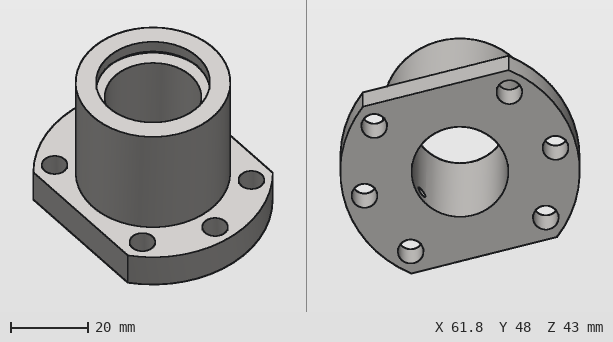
import cadquery as cq
import math

flange_diameter = 61.8
flange_width = 48.0
flange_thickness = 10.0

total_height = 43.0
body_diameter = 39.9

bore_diameter = 24.95
recess_diameter = 29.4
recess_depth = 5.5
undercut_diameter = 32.4
undercut_height = 2.0

bolt_hole_diameter = 6.6
bolt_circle_radius = 25.5
bolt_spacing_angle = 45.0

port_angle = 180.0 - bolt_spacing_angle / 2
port_diameter = 6.05
port_shoulder_radius = 24.85
port_drill_diameter = 3.0


def cylinder(diameter, bottom, top):
    """Upright cylinder about the Z axis."""
    return cq.Workplane("XY").workplane(offset=bottom).circle(diameter / 2).extrude(top - bottom)


def radial_cylinder(diameter, inner_radius, outer_radius):
    """Cylinder along the port axis, halfway up the flange."""
    angle = math.radians(port_angle)
    outward = cq.Vector(math.cos(angle), math.sin(angle), 0)
    start = outward * inner_radius + cq.Vector(0, 0, flange_thickness / 2)
    return cq.Solid.makeCylinder(diameter / 2, outer_radius - inner_radius, start, outward)


flats = cq.Workplane("XY").box(
    flange_diameter, flange_width, flange_thickness, centered=(True, True, False)
)
flange = cylinder(flange_diameter, 0, flange_thickness).intersect(flats)
result = flange.union(cylinder(body_diameter, 0, total_height))

recess_floor = total_height - recess_depth
result = result.cut(cylinder(bore_diameter, 0, total_height))
result = result.cut(cylinder(recess_diameter, recess_floor, total_height))
result = result.cut(cylinder(undercut_diameter, recess_floor, recess_floor + undercut_height))

for side_angle in (0, 180):
    for step in (-1, 0, 1):
        angle = math.radians(side_angle + step * bolt_spacing_angle)
        hole = cylinder(bolt_hole_diameter, 0, flange_thickness).translate(
            (bolt_circle_radius * math.cos(angle), bolt_circle_radius * math.sin(angle), 0)
        )
        result = result.cut(hole)

result = result.cut(radial_cylinder(port_diameter, port_shoulder_radius, flange_diameter / 2))
result = result.cut(radial_cylinder(port_drill_diameter, 0, port_shoulder_radius))